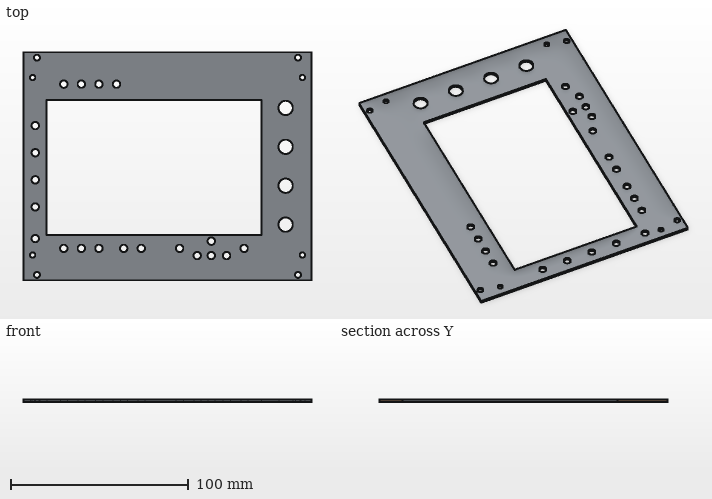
import cadquery as cq

length = 162.3
width = 128.5
thickness = 1.6

window_length = 120.9
window_width = 76.0
window_x = -7.6
window_y = -0.6

outer_mount_diameter = 3.2
outer_mount_x = 73.5
outer_mount_y = 61.2
inner_mount_diameter = 3.0
inner_mount_x = 76.0
inner_mount_y = 50.0

large_diameter = 8.0
large_x = 66.5
large_pitch = 21.9
large_count = 4

small_diameter = 4.0
row_y = 46.3
row_pitch = 9.9
row_start_x = -58.5
upper_row_count = 4
lower_row_count = 3
lower_pair_start_x = -24.7
lower_pair_count = 2

column_x = -74.5
column_pitch = 15.3
column_count = 4
column_extra_y = -40.7

cluster_left_x = 6.8
cluster_right_x = 43.2
cluster_low_left_x = 16.7
cluster_middle_x = 24.7
cluster_low_right_x = 33.3
cluster_low_y = -50.3
cluster_high_y = -42.2


def row(start_x, y, count):
    """Centres of a row of small holes running in +X."""
    return [(start_x + i * row_pitch, y) for i in range(count)]


def centred_column(x, pitch, count):
    """Centres of an even column of holes, centred on Y = 0."""
    return [(x, (i - (count - 1) / 2) * pitch) for i in range(count)]


def four_corners(x, y):
    """Centres mirrored about both the X and Y axes."""
    return [(sx * x, sy * y) for sx in (-1, 1) for sy in (-1, 1)]


def drill(plate, centres, diameter):
    """Cut through holes at the given centres."""
    return plate.faces(">Z").workplane(origin=(0, 0, thickness)).pushPoints(centres).hole(diameter)


cluster = [
    (cluster_left_x, -row_y),
    (cluster_right_x, -row_y),
    (cluster_low_left_x, cluster_low_y),
    (cluster_middle_x, cluster_low_y),
    (cluster_low_right_x, cluster_low_y),
    (cluster_middle_x, cluster_high_y),
]

small_holes = (
    row(row_start_x, row_y, upper_row_count)
    + row(row_start_x, -row_y, lower_row_count)
    + row(lower_pair_start_x, -row_y, lower_pair_count)
    + centred_column(column_x, column_pitch, column_count)
    + [(column_x, column_extra_y)]
    + cluster
)

plate = cq.Workplane("XY").rect(length, width).extrude(thickness)
window = (
    cq.Workplane("XY")
    .center(window_x, window_y)
    .rect(window_length, window_width)
    .extrude(thickness)
)
plate = plate.cut(window)

plate = drill(plate, four_corners(outer_mount_x, outer_mount_y), outer_mount_diameter)
plate = drill(plate, four_corners(inner_mount_x, inner_mount_y), inner_mount_diameter)
plate = drill(plate, centred_column(large_x, large_pitch, large_count), large_diameter)
result = drill(plate, small_holes, small_diameter)